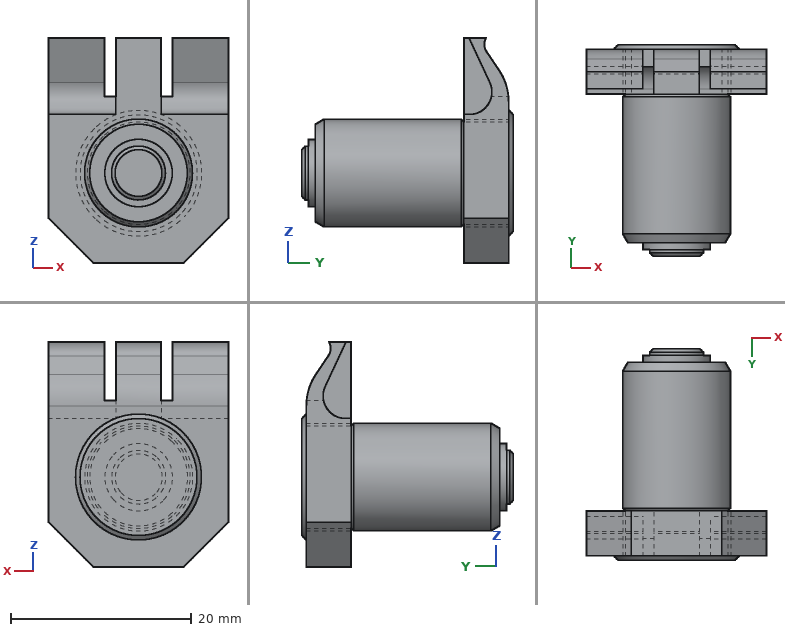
import cadquery as cq
import math

plate_width = 20
plate_thickness = 5
plate_height = 25
corner_chamfer = 5

slope_angle = math.radians(34)
back_arc_radius = 6.25
neck_radius = 1.5
neck_thickness = 2.3
neck_height = 24.3

seat_radius = 2.5
seat_center_y = 0.62
seat_center_z = 19
lead_in_angle = math.radians(25)
tongue_width = 5

slot_width = 1.25
slot_floor_z = 18.5

axis_z = 10
head_radius = 7
head_thickness = 0.5
barrel_radius = 6
root_chamfer = 0.3
barrel_length = 16.5
barrel_chamfer_length = 1
barrel_chamfer_depth = barrel_chamfer_length * math.tan(math.radians(30))
collar_radius = 3.75
collar_length = 0.75
tip_radius = 3
tip_length = 0.75
tip_chamfer = 0.4
shank_radius = barrel_radius - root_chamfer
hole_radius = barrel_radius


def arc_point(center, radius, angle):
    """Point on a circle in the YZ plane, with the angle measured from +Y towards +Z."""
    return (center[0] + radius * math.cos(angle), center[1] + radius * math.sin(angle))


def make_side_profile():
    """Side outline of the plate, extruded over its full width."""
    neck_center = (neck_thickness + neck_radius, neck_height)
    tip_angle = math.pi - math.asin((plate_height - neck_height) / neck_radius)
    neck_tip = arc_point(neck_center, neck_radius, tip_angle)
    neck_end = arc_point(neck_center, neck_radius, math.pi + slope_angle)

    slope_end_y = plate_thickness - back_arc_radius * (1 - math.cos(slope_angle))
    slope_end_z = neck_end[1] - (slope_end_y - neck_end[0]) / math.tan(slope_angle)
    back_center = (
        plate_thickness - back_arc_radius,
        slope_end_z - back_arc_radius * math.sin(slope_angle),
    )

    return (
        cq.Workplane("YZ")
        .moveTo(0, 0)
        .lineTo(plate_thickness, 0)
        .lineTo(plate_thickness, back_center[1])
        .threePointArc(
            arc_point(back_center, back_arc_radius, slope_angle / 2),
            (slope_end_y, slope_end_z),
        )
        .lineTo(*neck_end)
        .threePointArc((neck_thickness, neck_height), neck_tip)
        .lineTo(0, plate_height)
        .close()
        .extrude(plate_width / 2, both=True)
    )


def make_seat_cutter():
    """Round seat open to the front and the top, left solid across the tongue."""
    center = (seat_center_y, seat_center_z)
    lead_in_start = arc_point(center, seat_radius, lead_in_angle)
    lead_in_top_y = lead_in_start[0] - (plate_height - lead_in_start[1]) * math.tan(lead_in_angle)
    seat = (
        cq.Workplane("YZ")
        .moveTo(0, seat_center_z - seat_radius)
        .lineTo(seat_center_y, seat_center_z - seat_radius)
        .threePointArc(arc_point(center, seat_radius, -math.pi / 4), lead_in_start)
        .lineTo(lead_in_top_y, plate_height)
        .lineTo(0, plate_height)
        .close()
        .extrude(plate_width / 2, both=True)
    )
    tongue = cq.Workplane("XY").box(
        tongue_width, plate_thickness, plate_height, centered=(True, False, False)
    )
    return seat.cut(tongue)


def make_slot_cutter(side):
    """Slot next to the tongue; side is -1 or 1 along X."""
    slot_x = side * (tongue_width + slot_width) / 2
    return (
        cq.Workplane("XY")
        .box(slot_width, plate_thickness, plate_height - slot_floor_z, centered=(True, False, False))
        .translate((slot_x, 0, slot_floor_z))
    )


def make_plunger_hole():
    """Clearance hole through the plate for the plunger shank."""
    return (
        cq.Workplane("XZ", origin=(0, plate_thickness, axis_z))
        .circle(hole_radius)
        .extrude(plate_thickness)
    )


def make_plate():
    plate = make_side_profile()
    plate = plate.faces("<Z").edges("|Y").chamfer(corner_chamfer)
    plate = plate.cut(make_seat_cutter())
    for side in (-1, 1):
        plate = plate.cut(make_slot_cutter(side))
    return plate.cut(make_plunger_hole())


def make_plunger():
    """Head behind the plate, shank in its hole, then barrel, collar and tip in front."""
    head_y = plate_thickness + head_thickness
    collar_end_y = -barrel_length - collar_length
    tip_end_y = collar_end_y - tip_length
    return (
        cq.Workplane("XY")
        .moveTo(0, head_y)
        .lineTo(head_radius - head_thickness, head_y)
        .lineTo(head_radius, plate_thickness)
        .lineTo(shank_radius, plate_thickness)
        .lineTo(shank_radius, 0)
        .lineTo(barrel_radius, -root_chamfer)
        .lineTo(barrel_radius, barrel_chamfer_length - barrel_length)
        .lineTo(barrel_radius - barrel_chamfer_depth, -barrel_length)
        .lineTo(collar_radius, -barrel_length)
        .lineTo(collar_radius, collar_end_y)
        .lineTo(tip_radius, collar_end_y)
        .lineTo(tip_radius, tip_end_y + tip_chamfer)
        .lineTo(tip_radius - tip_chamfer, tip_end_y)
        .lineTo(0, tip_end_y)
        .close()
        .revolve(360, (0, 0, 0), (0, 1, 0))
        .translate((0, 0, axis_z))
    )


plate = make_plate()
plunger = make_plunger()

result = cq.Compound.makeCompound([plate.val(), plunger.val()])